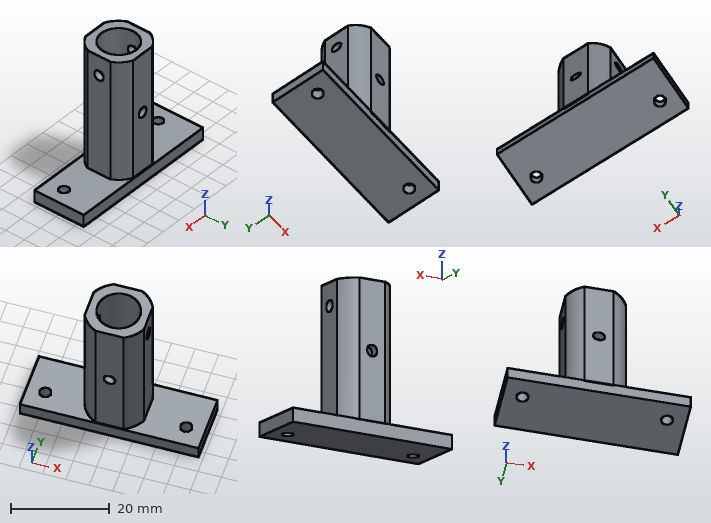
import cadquery as cq

plate_length = 38.0
plate_width = 13.0
plate_thickness = 3.0

total_height = 33.0
tube_height = total_height - plate_thickness
tube_diameter = 14.0
across_flats = 12.6
bore_diameter = 9.0

hole_diameter = 2.4
mount_hole_spacing = 30.0
mount_hole_y = -2.0
front_hole_drop = 15.0
side_hole_drop = 5.0


def make_plate():
    """Plate resting on Z = 0 with two vertical mounting holes."""
    plate = cq.Workplane("XY").box(
        plate_length, plate_width, plate_thickness, centered=(True, True, False)
    )
    holes = (
        cq.Workplane("XY")
        .pushPoints([(side * mount_hole_spacing / 2, mount_hole_y) for side in (-1, 1)])
        .circle(hole_diameter / 2)
        .extrude(plate_thickness)
    )
    return plate.cut(holes)


def make_tube():
    """Flatted tube standing on the plate, its bore ending at the plate."""
    base = cq.Workplane("XY").workplane(offset=plate_thickness)
    post = base.circle(tube_diameter / 2).extrude(tube_height)
    flats = base.rect(across_flats, across_flats).extrude(tube_height)
    bore = base.circle(bore_diameter / 2).extrude(tube_height)
    return post.intersect(flats).cut(bore)


def cross_hole(plane, drop):
    """Horizontal pin passing through both tube walls."""
    return (
        cq.Workplane(plane)
        .center(0, total_height - drop)
        .circle(hole_diameter / 2)
        .extrude(tube_diameter / 2, both=True)
    )


result = (
    make_plate()
    .union(make_tube())
    .cut(cross_hole("XZ", front_hole_drop))
    .cut(cross_hole("YZ", side_hole_drop))
)